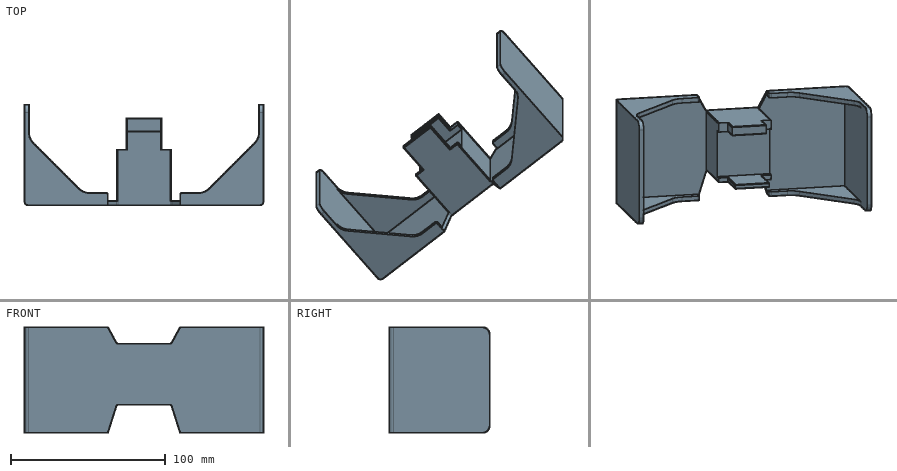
import cadquery as cq

length = 154.3
depth = 65.0
height = 68.4
wall = 3.0

bend_radius = 2.5
wall_corner_radius = 5.0

plate_lip = 8.0
plate_diagonal_end = 43.0
plate_fillet = 10.0
plate_tip_radius = 1.1

notch_mouth = 46.6
top_notch_depth = 10.6
bottom_notch_depth = 18.2
notch_root_radius = 1.0

plug_width = 35.0
plug_core_depth = 32.0
plug_shoulder = 36.0
prong_width = 22.8
upper_prong_thickness = 6.0
lower_prong_thickness = wall
upper_prong_reach = 48.0
lower_prong_reach = 56.3
edge_break = 0.5

plug_bottom = bottom_notch_depth
plug_top = height - top_notch_depth
upper_prong_bottom = plug_top - upper_prong_thickness
lower_prong_top = plug_bottom + lower_prong_thickness


def centred_box(width, y_start, y_end, z_bottom, z_top):
    """Box centred on X, given by its limits in Y and Z."""
    box = cq.Workplane("XY").box(
        width, y_end - y_start, z_top - z_bottom, centered=(True, False, False)
    )
    return box.translate((0, y_start, z_bottom))


def tray_walls():
    """Front wall and two side walls, with rounded outer corners."""
    outer = centred_box(length, 0, depth, 0, height)
    outer = outer.edges("|Z and <Y").fillet(bend_radius)
    outer = outer.edges("|X and >Y").fillet(wall_corner_radius)
    cavity = centred_box(length - 2 * wall, wall, depth, 0, height)
    return outer.cut(cavity)


def corner_plate():
    """Plate on the +X side, from the notch mouth to the outer side of the wall."""
    inner_wall = length / 2 - wall
    diagonal_start = inner_wall - (plate_diagonal_end - plate_lip)
    outline = [
        (notch_mouth / 2, 0),
        (notch_mouth / 2, plate_lip),
        (diagonal_start, plate_lip),
        (inner_wall, plate_diagonal_end),
        (inner_wall, depth - wall_corner_radius),
        (length / 2, depth - wall_corner_radius),
        (length / 2, 0),
    ]

    def vertical_edge(x, y):
        return cq.selectors.NearestToPointSelector((x, y, wall / 2))

    plate = cq.Workplane("XY").polyline(outline).close().extrude(wall)
    plate = plate.edges(vertical_edge(length / 2, 0)).fillet(bend_radius)
    plate = plate.edges(vertical_edge(diagonal_start, plate_lip)).fillet(plate_fillet)
    plate = plate.edges(vertical_edge(inner_wall, plate_diagonal_end)).fillet(plate_fillet)
    return plate.edges(vertical_edge(notch_mouth / 2, plate_lip)).fillet(plate_tip_radius)


def notch(mouth_z, floor_z):
    """Tapered cutter through the front wall, wide at mouth_z and as wide as the plug at floor_z."""
    outline = [
        (-notch_mouth / 2, mouth_z),
        (notch_mouth / 2, mouth_z),
        (plug_width / 2, floor_z),
        (-plug_width / 2, floor_z),
    ]
    cutter = cq.Workplane("XZ").polyline(outline).close().extrude(-wall)
    for x in (-plug_width / 2, plug_width / 2):
        root = cq.selectors.NearestToPointSelector((x, wall / 2, floor_z))
        cutter = cutter.edges(root).fillet(notch_root_radius)
    return cutter


def prong(reach, z_bottom, z_top):
    """Narrow tongue with broken edges along its sides and tip."""
    tongue = centred_box(prong_width, wall, reach, z_bottom, z_top)
    return tongue.faces("<Z or >Z").edges("not <Y").chamfer(edge_break)


def plug():
    """Solid core with a shouldered flange and a prong at its top and underside."""
    body = centred_box(plug_width, wall, plug_shoulder, plug_bottom, plug_top)
    body = body.edges("|Y").chamfer(edge_break)
    gap = centred_box(
        plug_width, plug_core_depth, plug_shoulder, lower_prong_top, upper_prong_bottom
    )
    body = body.cut(gap)
    body = body.union(prong(upper_prong_reach, upper_prong_bottom, plug_top))
    return body.union(prong(lower_prong_reach, plug_bottom, lower_prong_top))


shell = tray_walls()
for plate_z in (0, height - wall):
    raised_plate = corner_plate().translate((0, 0, plate_z))
    shell = shell.union(raised_plate).union(raised_plate.mirror("YZ"))

shell = shell.cut(notch(height, plug_top))
shell = shell.cut(notch(0, plug_bottom))

result = shell.union(plug())